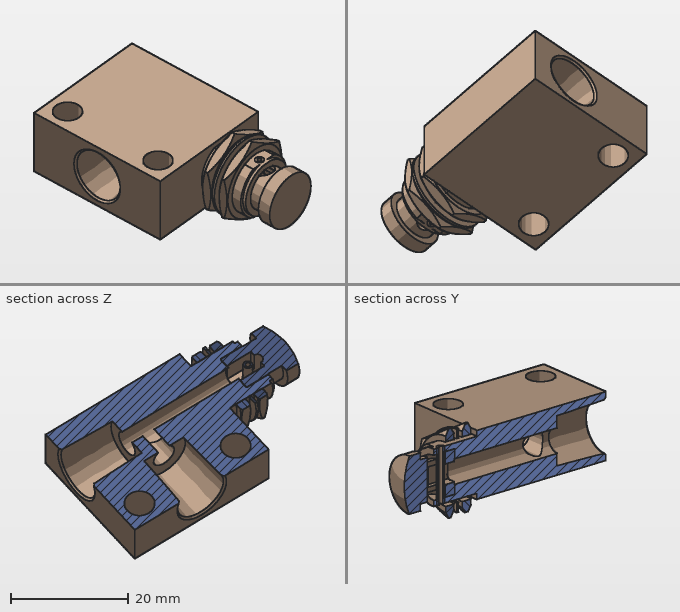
import cadquery as cq
import math


BLOCK_LENGTH = 28.58
BLOCK_WIDTH = 25.4
BLOCK_HEIGHT = 12.7
AXIS_TO_BACK = 8.8
BLOCK_FRONT_Y = AXIS_TO_BACK - BLOCK_WIDTH
MOUNT_HOLE_DIAMETER = 5.1
MOUNT_HOLE_INSET = 4.06

PORT_MOUTH_DIAMETER = 10.5
PORT_THREAD_DIAMETER = 9.75
PORT_END_DIAMETER = 9.1
PORT_TAPER_LENGTH = 16
PORT_CHAMFER = (PORT_MOUTH_DIAMETER - PORT_THREAD_DIAMETER) / 2
PORT_DEPTH = PORT_CHAMFER + (PORT_THREAD_DIAMETER - PORT_END_DIAMETER) * PORT_TAPER_LENGTH
SIDE_PASSAGE_DIAMETER = 4.37
MAIN_PASSAGE_DIAMETER = 4.6

NECK_DIAMETER = 11.77
NECK_FLATS = 10.53
NECK_LENGTH = 8.87
COLLAR_DIAMETER = 10.7
COLLAR_LENGTH = 0.65
NECK_END = BLOCK_LENGTH + NECK_LENGTH
COLLAR_END = NECK_END + COLLAR_LENGTH

NUT_SIDES = 6
NUT_CORNERS = 16.51
INNER_NUT_THICKNESS = 2.05
OUTER_NUT_THICKNESS = 1.95
NUT_FACE_DIAMETER = 14.0
NUT_CHAMFER_ANGLE = 30
INNER_NUT_START = BLOCK_LENGTH + 1.22
INNER_NUT_TURN = 1.8
OUTER_NUT_START = BLOCK_LENGTH + 4.97
OUTER_NUT_TURN = 0
WASHER_DIAMETER = 15.28
WASHER_THICKNESS = 0.45
WASHER_START = BLOCK_LENGTH + 3.97

PIN_DIAMETER = 1.65
PIN_BORE_DIAMETER = 0.8
PIN_X = BLOCK_LENGTH + 7.93

STEM_DIAMETER = 8.22
STEM_START = PIN_X - 3.0
HEAD_DIAMETER = 10.72
HEAD_START = COLLAR_END + 2.88
HEAD_LENGTH = 2.54
DOME_START = HEAD_START + HEAD_LENGTH
BUTTON_END = 44.68

SLOT_WIDTH = 1.84
SLOT_END = COLLAR_END + 1.38
RECESS_DIAMETER = 3.66
RECESS_FLOOR = 2.8
POCKET_SIZE = 3.7
POCKET_END = SLOT_END - SLOT_WIDTH / 2


def rod_along_x(diameter, start, end):
    """Cylinder on the button axis between two X positions."""
    return cq.Workplane("YZ", origin=(start, 0, 0)).circle(diameter / 2).extrude(end - start)


def rod_across_neck(diameter):
    """Cylinder along Z at the pin position, from flat to flat."""
    return (
        cq.Workplane("XY", origin=(PIN_X, 0, -NECK_FLATS / 2))
        .circle(diameter / 2)
        .extrude(NECK_FLATS)
    )


def port_cutter():
    """Chamfered and tapered port, going from the origin along +X."""
    outline = (
        cq.Workplane("XY")
        .lineTo(0, PORT_MOUTH_DIAMETER / 2)
        .lineTo(PORT_CHAMFER, PORT_THREAD_DIAMETER / 2)
        .lineTo(PORT_DEPTH, PORT_END_DIAMETER / 2)
        .lineTo(PORT_DEPTH, 0)
        .close()
    )
    return outline.revolve(360, (0, 0, 0), (1, 0, 0))


def make_block():
    return cq.Workplane("XY").box(BLOCK_LENGTH, BLOCK_WIDTH, BLOCK_HEIGHT).translate(
        (BLOCK_LENGTH / 2, BLOCK_FRONT_Y + BLOCK_WIDTH / 2, 0)
    )


def make_neck():
    neck = rod_along_x(NECK_DIAMETER, BLOCK_LENGTH, NECK_END)
    collar = rod_along_x(COLLAR_DIAMETER, NECK_END, COLLAR_END)
    neck_length = COLLAR_END - BLOCK_LENGTH
    between_flats = cq.Workplane("XY").box(neck_length, NECK_DIAMETER, NECK_FLATS).translate(
        (BLOCK_LENGTH + neck_length / 2, 0, 0)
    )
    return neck.union(collar).intersect(between_flats)


def make_housing():
    housing = make_block().union(make_neck())

    mount_hole_y = BLOCK_FRONT_Y + MOUNT_HOLE_INSET
    mount_holes = (
        cq.Workplane("XY", origin=(0, 0, -BLOCK_HEIGHT / 2))
        .pushPoints([(x, mount_hole_y) for x in (MOUNT_HOLE_INSET, BLOCK_LENGTH - MOUNT_HOLE_INSET)])
        .circle(MOUNT_HOLE_DIAMETER / 2)
        .extrude(BLOCK_HEIGHT)
    )

    side_port_x = BLOCK_LENGTH / 2
    end_port = port_cutter()
    side_port = port_cutter().rotate((0, 0, 0), (0, 0, 1), 90).translate((side_port_x, BLOCK_FRONT_Y, 0))
    main_passage = rod_along_x(MAIN_PASSAGE_DIAMETER, 0, STEM_START)
    side_passage = (
        cq.Workplane("XZ", origin=(side_port_x, 0, 0))
        .circle(SIDE_PASSAGE_DIAMETER / 2)
        .extrude(-BLOCK_FRONT_Y)
    )

    stem_bore = rod_along_x(STEM_DIAMETER, STEM_START, COLLAR_END)
    pin_hole = rod_across_neck(PIN_DIAMETER)

    for cutter in (mount_holes, end_port, side_port, main_passage, side_passage, stem_bore, pin_hole):
        housing = housing.cut(cutter)
    return housing


def make_pin():
    return rod_across_neck(PIN_DIAMETER).cut(rod_across_neck(PIN_BORE_DIAMETER))


def make_nut(start, thickness, turn):
    """Hexagon nut with corners at +Z and -Z before its turn, chamfered on both faces."""
    end = start + thickness
    corner_radius = NUT_CORNERS / 2
    face_radius = NUT_FACE_DIAMETER / 2
    chamfer_depth = (corner_radius - face_radius) * math.tan(math.radians(NUT_CHAMFER_ANGLE))
    hexagon = (
        cq.Workplane("YZ", origin=(start, 0, 0))
        .polygon(NUT_SIDES, NUT_CORNERS)
        .extrude(thickness)
        .rotate((0, 0, 0), (1, 0, 0), 90 + turn)
    )
    chamfer_envelope = (
        cq.Workplane("XY")
        .moveTo(start, 0)
        .lineTo(start, face_radius)
        .lineTo(start + chamfer_depth, corner_radius)
        .lineTo(end - chamfer_depth, corner_radius)
        .lineTo(end, face_radius)
        .lineTo(end, 0)
        .close()
        .revolve(360, (0, 0, 0), (1, 0, 0))
    )
    return hexagon.intersect(chamfer_envelope).cut(rod_along_x(NECK_DIAMETER, start, end))


def make_washer():
    end = WASHER_START + WASHER_THICKNESS
    disc = rod_along_x(WASHER_DIAMETER, WASHER_START, end)
    return disc.cut(rod_along_x(NECK_DIAMETER, WASHER_START, end))


def make_button():
    stem_radius = STEM_DIAMETER / 2
    head_radius = HEAD_DIAMETER / 2

    dome_height = BUTTON_END - DOME_START
    dome_radius = (head_radius**2 + dome_height**2) / (2 * dome_height)
    half_angle = math.asin(head_radius / dome_radius) / 2
    dome_centre_x = BUTTON_END - dome_radius
    dome_middle = (
        dome_centre_x + dome_radius * math.cos(half_angle),
        dome_radius * math.sin(half_angle),
    )
    button = (
        cq.Workplane("XY")
        .moveTo(STEM_START, 0)
        .lineTo(STEM_START, stem_radius)
        .lineTo(HEAD_START, stem_radius)
        .lineTo(HEAD_START, head_radius)
        .lineTo(DOME_START, head_radius)
        .threePointArc(dome_middle, (BUTTON_END, 0))
        .close()
        .revolve(360, (0, 0, 0), (1, 0, 0))
    )

    slot_length = SLOT_END - PIN_X + SLOT_WIDTH / 2
    slot = (
        cq.Workplane("XY", origin=(SLOT_END - slot_length / 2, 0, -stem_radius))
        .slot2D(slot_length, SLOT_WIDTH)
        .extrude(STEM_DIAMETER)
    )

    recess = (
        cq.Workplane("XY", origin=(SLOT_END - RECESS_DIAMETER / 2, 0, RECESS_FLOOR))
        .circle(RECESS_DIAMETER / 2)
        .extrude(stem_radius - RECESS_FLOOR)
    )

    pocket = (
        cq.Workplane("YZ", origin=(STEM_START, 0, 0))
        .rect(POCKET_SIZE, POCKET_SIZE)
        .extrude(POCKET_END - STEM_START)
    )
    return button.cut(slot).cut(recess).cut(recess.mirror("XY")).cut(pocket)


housing = make_housing()
nuts = [
    make_nut(start, thickness, turn)
    for start, thickness, turn in (
        (INNER_NUT_START, INNER_NUT_THICKNESS, INNER_NUT_TURN),
        (OUTER_NUT_START, OUTER_NUT_THICKNESS, OUTER_NUT_TURN),
    )
]
washer = make_washer()
button = make_button()
pin = make_pin()

result = cq.Compound.makeCompound(
    [housing.val(), *[nut.val() for nut in nuts], washer.val(), button.val(), pin.val()]
)